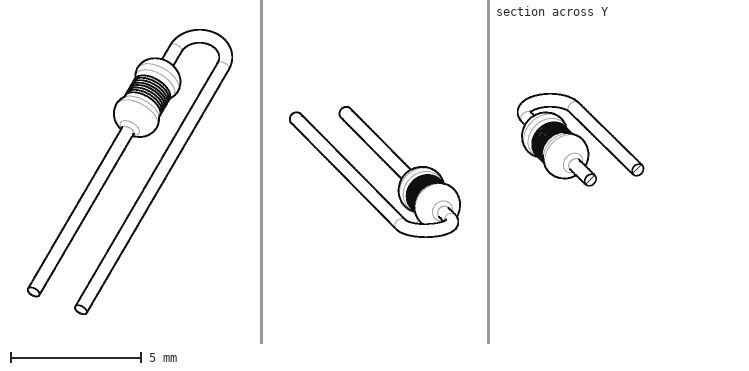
import cadquery as cq
import math

total_length = 14.05
wire_diameter = 0.5
lead_pitch = 2.0
upper_lead_length = 0.85

bulb_diameter = 1.8
barrel_diameter = 1.53
band_diameter = 1.55
collar_diameter = 0.81
collar_length = 0.17
dome_length = 0.63
shoulder_length = 0.25
band_width = 0.13
band_count = 4

wire_radius = wire_diameter / 2
bend_radius = lead_pitch / 2
lead_end = bend_radius + wire_radius - total_length
barrel_length = (2 * band_count - 1) * band_width
half_barrel = barrel_length / 2
bulb_offset = half_barrel + 2 * shoulder_length
dome_offset = bulb_offset + dome_length
half_body = dome_offset + collar_length
body_center = -upper_lead_length - half_body

bulb_radius = bulb_diameter / 2
barrel_radius = barrel_diameter / 2
collar_radius = collar_diameter / 2
shoulder_radius = (bulb_radius + barrel_radius) / 2


def make_half_body():
    """Revolve the +Y half of the body, centred on the lead axis."""
    return (
        cq.Workplane("XY")
        .lineTo(barrel_radius, 0)
        .lineTo(barrel_radius, half_barrel)
        .tangentArcPoint((shoulder_radius, half_barrel + shoulder_length), relative=False)
        .tangentArcPoint((bulb_radius, bulb_offset), relative=False)
        .tangentArcPoint((collar_radius, dome_offset), relative=False)
        .threePointArc(collar_arc_middle(), (wire_radius, half_body))
        .lineTo(0, half_body)
        .close()
        .revolve(360, (0, 0, 0), (0, 1, 0))
    )


def collar_arc_middle():
    """Middle of the concave arc, close to a quarter circle, that blends dome into wire."""
    inset = 1 - math.sqrt(0.5)
    x = wire_radius + inset * (collar_radius - wire_radius)
    y = half_body - (1 - inset) * collar_length
    return (x, y)


def make_band(index):
    """One colour band: a thin raised ring, spaced from the next by its own width."""
    start = body_center - half_barrel + 2 * index * band_width
    return cq.Workplane("XZ", origin=(0, start, 0)).circle(band_diameter / 2).extrude(-band_width)


def make_wire():
    """Straight lead through the body, half-circle bend and long return lead."""
    path = (
        cq.Workplane("XY")
        .moveTo(0, lead_end)
        .lineTo(0, 0)
        .threePointArc((bend_radius, bend_radius), (lead_pitch, 0))
        .lineTo(lead_pitch, lead_end)
    )
    return cq.Workplane("XZ", origin=(0, lead_end, 0)).circle(wire_radius).sweep(path)


upper_half = make_half_body()
lower_half = upper_half.mirror("XZ")
body = upper_half.union(lower_half).translate((0, body_center, 0))
for band_index in range(band_count):
    body = body.union(make_band(band_index))
result = body.union(make_wire())